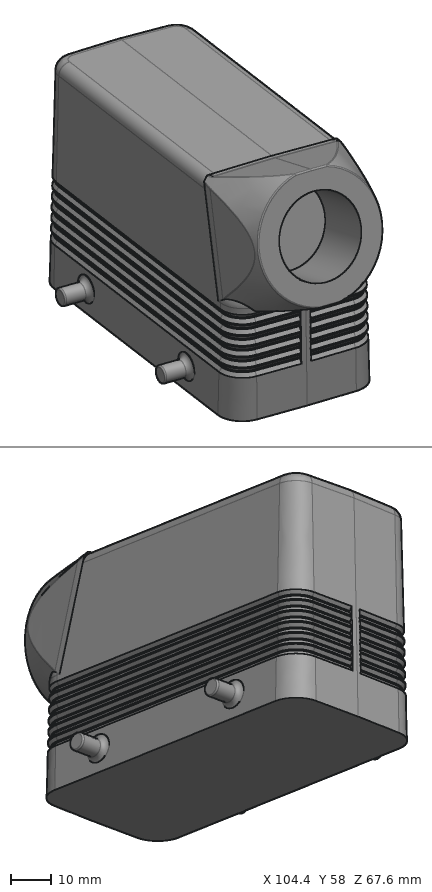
import cadquery as cq
import math

BASE_LENGTH = 93.5
BASE_WIDTH = 43.1
BASE_CORNER_RADIUS = 7.2
HEIGHT = 62.9
DRAFT_ANGLE = 1.4
PARTING_DRAFT_ANGLE = 0.8
TOP_FILLET = 3.2

GROOVE_COUNT = 6
GROOVE_PITCH = 3.0
GROOVE_DEPTH = 0.8
GROOVE_FLANK = 1.15
GROOVE_FLOOR = 0.4
FIRST_GROOVE_Z = 12.1
END_WEB_WIDTH = 2.8

OVERALL_LENGTH = 104.42
OVERALL_HEIGHT = 67.56
OUTLET_TILT = 15.0
OUTLET_LENGTH = 18.0
OUTLET_RADIUS = 18.0
OUTLET_RISE = 17.6
OUTLET_DROP = 17.9
OUTLET_FACE_TOP_HALF_WIDTH = 17.8
OUTLET_FACE_BOTTOM_HALF_WIDTH = 18.9
OUTLET_CONE_ANGLE = 22.0
OUTLET_EDGE_FILLET = 0.4
OUTLET_SIDE_BLEND = 18.0
OUTLET_TOP_BLEND = 2.0
OUTLET_ROOT_OVERLAP = 1.3
CREASE_REACH = 0.2
BORE_DIAMETER = 23.7
BORE_DEPTH = OUTLET_LENGTH

SHOULDER_HEIGHT = 35.9
SHOULDER_FILLET = 4.5

PIN_SPACING = 48.0
PIN_Z = 6.4
PIN_SPAN = 58.0
PIN_DIAMETER = 4.8
PIN_TIP_FILLET = 0.4
PIN_ROOT_DIAMETER = 8.0
PIN_ROOT_HEIGHT = 1.6
PIN_FLARE_BOW = 0.3
PIN_EMBED = 8.0

TILT_COS = math.cos(math.radians(OUTLET_TILT))
TILT_SIN = math.sin(math.radians(OUTLET_TILT))
DRAFT_SLOPE = math.tan(math.radians(DRAFT_ANGLE))
PARTING_SLOPE = math.tan(math.radians(PARTING_DRAFT_ANGLE))
OUTLET_AXIS = cq.Vector(TILT_COS, 0, TILT_SIN)
OUTLET_START = -OUTLET_LENGTH - OUTLET_ROOT_OVERLAP
RIM_ROUNDING = OUTLET_EDGE_FILLET * (TILT_COS + TILT_SIN - 1)
OUTLET_X = OVERALL_LENGTH - BASE_LENGTH / 2 - OUTLET_DROP * TILT_SIN + RIM_ROUNDING
OUTLET_Z = OVERALL_HEIGHT - OUTLET_RISE * TILT_COS + RIM_ROUNDING


def drafted_block(z, height, inset, taper):
    """Base outline moved inward by `inset`, raised with a taper from level z.

    Both ends fall away slightly from the parting plane y = 0.
    """
    half_length = BASE_LENGTH / 2 - inset
    half_width = BASE_WIDTH / 2 - inset
    corner_x = half_length - half_width * PARTING_SLOPE
    outline = [
        (half_length, 0),
        (corner_x, half_width),
        (-corner_x, half_width),
        (-half_length, 0),
        (-corner_x, -half_width),
        (corner_x, -half_width),
    ]
    block = cq.Workplane("XY", origin=(0, 0, z)).sketch().polygon(outline + outline[:1])
    block = block.vertices("<Y or >Y").fillet(BASE_CORNER_RADIUS - inset)
    return block.finalize().extrude(height, taper=taper)


def outlet_plane(offset):
    """Plane square to the outlet axis; its x runs along Y and its y runs upward."""
    origin = (OUTLET_X + offset * TILT_COS, 0, OUTLET_Z + offset * TILT_SIN)
    return cq.Plane(origin=origin, xDir=(0, 1, 0), normal=OUTLET_AXIS)


def body_half_width(z):
    return BASE_WIDTH / 2 - z * DRAFT_SLOPE


def half_envelope():
    """Space on the +Y side of the parting plane, under a top that falls away slightly."""
    eaves_z = HEIGHT - BASE_WIDTH / 2 * PARTING_SLOPE
    section = [(0, 0), (BASE_WIDTH / 2, 0), (BASE_WIDTH / 2, eaves_z), (0, HEIGHT)]
    return (
        cq.Workplane("YZ", origin=(-BASE_LENGTH / 2, 0, 0))
        .polyline(section)
        .close()
        .extrude(BASE_LENGTH)
    )


def rounded_block(height, fillet_radius):
    """Drafted block with its top edges rounded, made as a half and mirrored at the parting plane."""
    half = drafted_block(0, height, 0, DRAFT_ANGLE).intersect(half_envelope())
    half = half.faces(">Z").edges("not(|X and <Y)").fillet(fillet_radius)
    return half.union(half.mirror("XZ"))


def make_body():
    beyond_root = (
        cq.Workplane(outlet_plane(OUTLET_START))
        .rect(2 * OVERALL_LENGTH, 2 * OVERALL_LENGTH)
        .extrude(OVERALL_LENGTH)
    )
    upper = rounded_block(HEIGHT, TOP_FILLET).cut(beyond_root)
    shoulders = rounded_block(SHOULDER_HEIGHT, SHOULDER_FILLET).intersect(beyond_root)
    return upper.union(shoulders)


def outlet_section(offset, rise, top, bottom):
    """Roofed trapezoid across the outlet axis with the given half widths at its top and bottom."""
    corner_rise = rise - top * PARTING_SLOPE
    corners = [
        (-bottom, -OUTLET_DROP),
        (bottom, -OUTLET_DROP),
        (top, corner_rise),
        (0, rise),
        (-top, corner_rise),
    ]
    return cq.Workplane(outlet_plane(offset)).polyline(corners).close().wire().val()


def wall_section(offset, rise):
    """Outlet section whose sides lie in the body walls."""
    centre_z = OUTLET_Z + offset * TILT_SIN
    top = body_half_width(centre_z + rise * TILT_COS)
    bottom = body_half_width(centre_z - OUTLET_DROP * TILT_COS)
    return outlet_section(offset, rise, top, bottom)


def make_transition():
    """Four-sided transition from the body walls to the outlet face, blended at the crease."""
    start_rise = (HEIGHT - OUTLET_Z - OUTLET_START * TILT_SIN) / TILT_COS
    sections = [
        wall_section(OUTLET_START, start_rise),
        wall_section(-OUTLET_LENGTH, OUTLET_RISE),
        outlet_section(
            0, OUTLET_RISE, OUTLET_FACE_TOP_HALF_WIDTH, OUTLET_FACE_BOTTOM_HALF_WIDTH
        ),
    ]
    transition = cq.Workplane(cq.Solid.makeLoft(sections, True))
    crease = cq.selectors.CenterNthSelector(OUTLET_AXIS, 2)
    blended = transition.edges(crease).edges("<Y or >Y").fillet(OUTLET_SIDE_BLEND)
    crease_point = outlet_plane(-OUTLET_LENGTH).toWorldCoords((0, OUTLET_RISE))
    reach = cq.Vector(CREASE_REACH, BASE_WIDTH / 2, CREASE_REACH)
    top_crease = cq.selectors.BoxSelector(
        (crease_point - reach).toTuple(), (crease_point + reach).toTuple()
    )
    return blended.edges(top_crease).fillet(OUTLET_TOP_BLEND)


def make_outlet():
    """Transition with its corners rounded off by a cone and its edges softened."""
    radius_growth = math.tan(math.radians(OUTLET_CONE_ANGLE))
    root_radius = OUTLET_RADIUS - OUTLET_START * radius_growth
    cone = (
        cq.Workplane(outlet_plane(OUTLET_START))
        .circle(root_radius)
        .workplane(offset=-OUTLET_START)
        .circle(OUTLET_RADIUS)
        .loft()
    )
    outlet = make_transition().intersect(cone)
    outlet = outlet.faces("%CONE").edges("not %CIRCLE").fillet(OUTLET_EDGE_FILLET)
    outlet_face = cq.selectors.CenterNthSelector(OUTLET_AXIS, -1)
    return outlet.faces(outlet_face).edges().fillet(OUTLET_EDGE_FILLET)


def cut_bore(part):
    bore = cq.Workplane(outlet_plane(-BORE_DEPTH)).circle(BORE_DIAMETER / 2).extrude(BORE_DEPTH)
    return part.cut(bore)


def make_groove(z):
    """Trapezoidal groove with its lower lip at level z, interrupted by a web at both ends."""
    lip_inset = z * DRAFT_SLOPE
    floor_inset = lip_inset + GROOVE_DEPTH
    flank_angle = math.degrees(math.atan2(GROOVE_DEPTH, GROOVE_FLANK))
    floor_z = z + GROOVE_FLANK
    upper_z = floor_z + GROOVE_FLOOR
    height = 2 * GROOVE_FLANK + GROOVE_FLOOR
    slab = cq.Workplane("XY", origin=(0, 0, z)).rect(BASE_LENGTH, BASE_WIDTH).extrude(height)
    web = cq.Workplane("XY", origin=(0, 0, z)).rect(BASE_LENGTH, END_WEB_WIDTH).extrude(height)
    return (
        slab.cut(drafted_block(z, GROOVE_FLANK, lip_inset, flank_angle))
        .cut(drafted_block(floor_z, GROOVE_FLOOR, floor_inset, 0))
        .cut(drafted_block(upper_z, GROOVE_FLANK, floor_inset, -flank_angle))
        .cut(web)
    )


def make_pin(x, side):
    """Pin on the wall facing `side` (+1 or -1 along Y), with a flared concave root."""
    wall = body_half_width(PIN_Z)
    radius = PIN_DIAMETER / 2
    root_radius = PIN_ROOT_DIAMETER / 2
    embed = wall - PIN_EMBED
    tip = PIN_SPAN / 2
    flare_mid = (
        radius + PIN_FLARE_BOW * (root_radius - radius),
        wall + PIN_FLARE_BOW * PIN_ROOT_HEIGHT,
    )
    pin = (
        cq.Workplane("XY")
        .moveTo(0, embed)
        .lineTo(root_radius, embed)
        .lineTo(root_radius, wall)
        .threePointArc(flare_mid, (radius, wall + PIN_ROOT_HEIGHT))
        .lineTo(radius, tip)
        .lineTo(0, tip)
        .close()
        .revolve(360, (0, 0), (0, 1))
        .faces(">Y")
        .edges()
        .fillet(PIN_TIP_FILLET)
    )
    if side < 0:
        pin = pin.mirror("XZ")
    return pin.translate((x, 0, PIN_Z))


result = make_body().union(make_outlet())
result = cut_bore(result)
for index in range(GROOVE_COUNT):
    result = result.cut(make_groove(FIRST_GROOVE_Z + index * GROOVE_PITCH))
for pin_x in (-PIN_SPACING / 2, PIN_SPACING / 2):
    for pin_side in (-1, 1):
        result = result.union(make_pin(pin_x, pin_side))